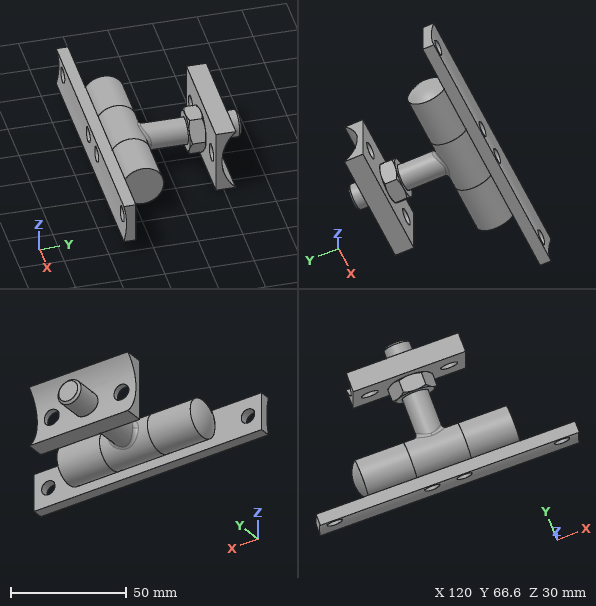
import cadquery as cq
import math


strip_length = 120.0
strip_height = 19.0
strip_thickness = 5.4
strip_hollow_depth = 1.2
strip_center_x = 0.2
strip_hole_diameter = 7.0
strip_outer_hole_x = 52.5
strip_inner_hole_x = 7.5

barrel_diameter = 18.8
barrel_radius = barrel_diameter / 2
barrel_y = strip_thickness + barrel_radius
knuckle_length = 25.2
end_length = 22.5
dome_height = 3.6

stud_diameter = 12.1
stud_end_y = 66.6
stud_chamfer = 1.1
stud_root_fillet = 1.8
root_search_margin = 1.2

saddle_length = 52.1
saddle_height = 30.0
saddle_thickness = 9.0
saddle_web_thickness = 2.8
saddle_front_y = 49.8
saddle_hole_x = 18.4
saddle_hole_diameter = 7.7

nut_thickness = 7.2
nut_across_flats = 18.0
nut_across_corners = nut_across_flats / math.cos(math.pi / 6)
nut_chamfer_angle = math.radians(30)


def cylinder_y(diameter, start_y, end_y, x=0):
    """Cylinder along +Y, centered on Z = 0."""
    return cq.Workplane(
        cq.Solid.makeCylinder(
            diameter / 2, end_y - start_y, cq.Vector(x, start_y, 0), cq.Vector(0, 1, 0)
        )
    )


def make_strip():
    """Flat bar with a shallow hollow along its front face and four holes."""
    half_height = strip_height / 2
    strip = (
        cq.Workplane("YZ")
        .workplane(offset=strip_center_x - strip_length / 2)
        .moveTo(0, -half_height)
        .lineTo(strip_thickness, -half_height)
        .lineTo(strip_thickness, half_height)
        .lineTo(0, half_height)
        .threePointArc((strip_hollow_depth, 0), (0, -half_height))
        .close()
        .extrude(strip_length)
    )
    for x in (-strip_outer_hole_x, -strip_inner_hole_x, strip_inner_hole_x, strip_outer_hole_x):
        strip = strip.cut(cylinder_y(strip_hole_diameter, 0, strip_thickness, x))
    return strip


def barrel_section(start_x, length):
    """Length of plain barrel along +X."""
    return (
        cq.Workplane("YZ", origin=(start_x, barrel_y, 0)).circle(barrel_radius).extrude(length)
    )


def make_knuckle():
    """Middle barrel section with the stud growing out of its back."""
    barrel = barrel_section(-knuckle_length / 2, knuckle_length)
    stud = cylinder_y(stud_diameter, barrel_y, stud_end_y).faces(">Y").chamfer(stud_chamfer)
    root_box = cq.selectors.BoxSelector(
        (-stud_diameter, barrel_y + root_search_margin, -stud_diameter),
        (stud_diameter, barrel_y + barrel_radius + root_search_margin, stud_diameter),
        boundingbox=True,
    )
    joined = barrel.union(stud)
    root_edges = joined.edges(root_box)
    return root_edges.fillet(stud_root_fillet)


def make_domed_end():
    """Left barrel section, closed by a shallow spherical dome."""
    inner_x = -knuckle_length / 2
    rim_x = inner_x - end_length
    tip_x = rim_x - dome_height
    dome_radius = (barrel_radius**2 + dome_height**2) / (2 * dome_height)
    dome_center_x = tip_x + dome_radius
    mid_angle = math.asin(barrel_radius / dome_radius) / 2
    dome_middle = (
        dome_center_x - dome_radius * math.cos(mid_angle),
        dome_radius * math.sin(mid_angle),
    )
    return (
        cq.Workplane("XY", origin=(0, barrel_y, 0))
        .moveTo(inner_x, 0)
        .lineTo(inner_x, barrel_radius)
        .lineTo(rim_x, barrel_radius)
        .threePointArc(dome_middle, (tip_x, 0))
        .close()
        .revolve(360, (0, 0, 0), (1, 0, 0))
    )


def make_plain_end():
    """Right barrel section with a flat end."""
    return barrel_section(knuckle_length / 2, end_length)


def make_saddle():
    """Plate with a round trough along its back, a stud hole and two screw holes."""
    half_height = saddle_height / 2
    back_y = saddle_front_y + saddle_thickness
    saddle = (
        cq.Workplane("YZ")
        .workplane(offset=-saddle_length / 2)
        .moveTo(saddle_front_y, -half_height)
        .lineTo(back_y, -half_height)
        .threePointArc((saddle_front_y + saddle_web_thickness, 0), (back_y, half_height))
        .lineTo(saddle_front_y, half_height)
        .close()
        .extrude(saddle_length)
        .cut(cylinder_y(stud_diameter, saddle_front_y, back_y))
    )
    for x in (-saddle_hole_x, saddle_hole_x):
        saddle = saddle.cut(cylinder_y(saddle_hole_diameter, saddle_front_y, back_y, x))
    return saddle


def make_nut():
    """Hexagon nut with corners on +X and -X, its corners coned off at both ends."""
    front_y = saddle_front_y - nut_thickness
    corner_radius = nut_across_corners / 2
    flat_radius = nut_across_flats / 2
    cone_drop = (corner_radius - flat_radius) * math.tan(nut_chamfer_angle)
    hexagon = (
        cq.Workplane("XZ", origin=(0, saddle_front_y, 0))
        .polygon(6, nut_across_corners)
        .extrude(nut_thickness)
    )
    envelope = (
        cq.Workplane("XY")
        .moveTo(0, front_y)
        .lineTo(flat_radius, front_y)
        .lineTo(corner_radius, front_y + cone_drop)
        .lineTo(corner_radius, saddle_front_y - cone_drop)
        .lineTo(flat_radius, saddle_front_y)
        .lineTo(0, saddle_front_y)
        .close()
        .revolve(360, (0, 0, 0), (0, 1, 0))
    )
    return hexagon.intersect(envelope).cut(cylinder_y(stud_diameter, front_y, saddle_front_y))


strip = make_strip().solids()
knuckle = make_knuckle().solids()
domed_end = make_domed_end().solids()
plain_end = make_plain_end().solids()
nut = make_nut().solids()
saddle = make_saddle().solids()

result = cq.Compound.makeCompound(
    [strip.val(), knuckle.val(), domed_end.val(), plain_end.val(), nut.val(), saddle.val()]
)